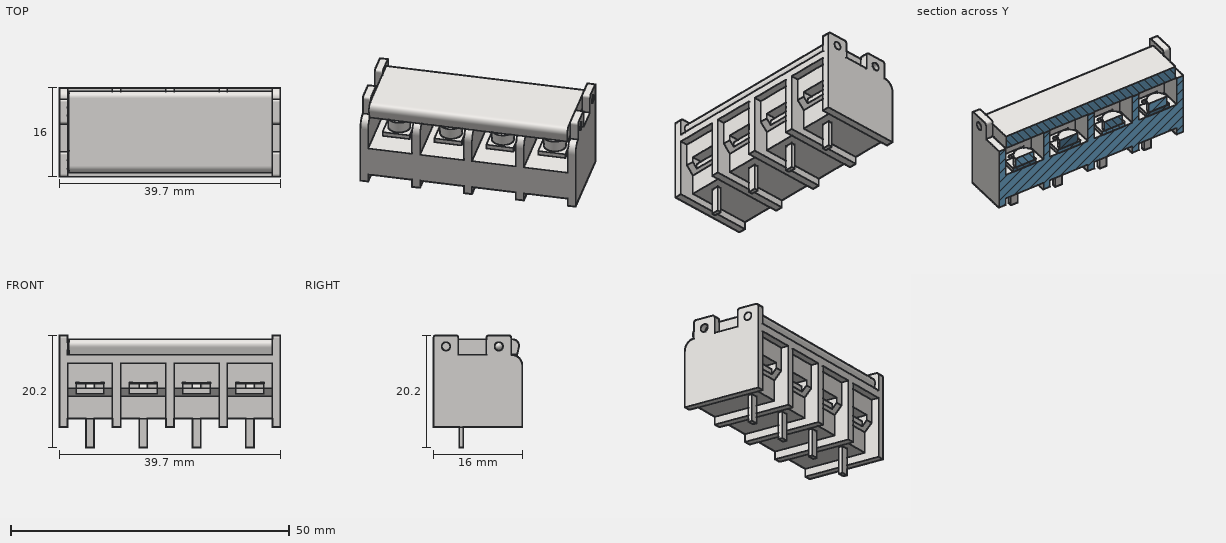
import cadquery as cq
import math


poles = 4
length = 39.72
depth = 16.0
deck_height = 13.0
end_wall = 1.46
divider = 1.5
bay_width = (length - 2 * end_wall - (poles - 1) * divider) / poles
pitch = bay_width + divider
left_end = -length / 2
inner_left = left_end + end_wall
inner_length = length - 2 * end_wall
pole_centres = [inner_left + bay_width / 2 + pole * pitch for pole in range(poles)]

back_tab_end = 14.0
back_corner_radius = depth - back_tab_end
back_corner_height = deck_height - back_corner_radius
lower_wall_y = 3.0
upper_wall_y = 1.5
core_bottom = 1.5
slope_rise = lower_wall_y - upper_wall_y
ledge_height = 7.0
beam_bottom = 11.5
well_front = 4.75

tab_length = 4.5
tab_top = 16.5
tab_radius = 0.5
tab_starts = [0.0, back_tab_end - tab_length]

opening_width = 5.0
opening_top = 8.0
mouth_bottom = 6.0
mouth_depth = 1.0

sheet = 0.8
pin_width = 1.5
pin_front = 4.6
pin_tip = -3.7
bend_inner_radius = 0.3
bend_outer_radius = bend_inner_radius + sheet
bend_axis_y = pin_front + bend_outer_radius
plate_top = ledge_height + sheet
bend_axis_z = plate_top - bend_outer_radius
root_radius = 0.5
plate_front = bend_axis_y + root_radius
plate_size = opening_width

screw_diameter = 4.0
screw_height = 2.0

cover_gap = 0.23
cover_left = inner_left + cover_gap
cover_right = inner_left + inner_length
cover_top = 15.8
cover_front = 0.75
cover_back = 15.4
cover_radius = 1.2
cover_draft = math.radians(12.5)
peg_diameter = 1.52
dome_diameter = 1.5
peg_height = 14.5
front_peg_y, back_peg_y = [start + tab_length / 2 for start in tab_starts]


def block(x_min, x_max, y_min, y_max, z_min, z_max):
    """Box between two corners."""
    size = (x_max - x_min, y_max - y_min, z_max - z_min)
    return cq.Workplane("XY").box(*size, centered=False).translate((x_min, y_min, z_min))


def side_profile(x):
    """Sketch plane at x whose local axes are Y and Z, extruding towards +X."""
    return cq.Workplane("YZ", origin=(x, 0, 0))


def wall(x, thickness):
    """Divider or end wall with a rounded upper back corner."""
    return (
        side_profile(x)
        .lineTo(depth, 0)
        .lineTo(depth, back_corner_height)
        .radiusArc((back_tab_end, deck_height), -back_corner_radius)
        .lineTo(0, deck_height)
        .close()
        .extrude(thickness)
    )


def tab(x, y):
    """Upright tab on an end wall, rounded at its two upper edges."""
    body = block(x, x + end_wall, y, y + tab_length, deck_height, tab_top)
    return body.edges("|X and >Z").fillet(tab_radius)


def core():
    """Body between the end walls: sloped front wall, top beam and floor open to the back."""
    return (
        side_profile(inner_left)
        .polyline([
            (lower_wall_y, core_bottom),
            (lower_wall_y, ledge_height - slope_rise),
            (upper_wall_y, ledge_height),
            (upper_wall_y, beam_bottom),
            (0, beam_bottom),
            (0, deck_height),
            (well_front, deck_height),
            (well_front, ledge_height),
            (depth, ledge_height),
            (depth, core_bottom),
        ])
        .close()
        .extrude(inner_length)
    )


def wire_opening(x):
    """Front mouth and the slot that leads from it to the open back of the bay."""
    x_min = x - opening_width / 2
    x_max = x + opening_width / 2
    mouth_back = upper_wall_y + mouth_depth
    mouth = block(x_min, x_max, upper_wall_y, mouth_back, mouth_bottom, opening_top)
    slot = block(x_min, x_max, mouth_back, well_front, ledge_height, opening_top)
    return mouth.union(slot)


def terminal(x):
    """Flat plate whose narrow tongue bends down into the solder pin."""
    plate_middle = plate_front + plate_size / 2
    plate = (
        cq.Workplane("XY", origin=(x, plate_middle, ledge_height))
        .rect(plate_size, plate_size)
        .extrude(sheet)
    )
    tongue = (
        side_profile(x - pin_width / 2)
        .moveTo(pin_front, pin_tip)
        .lineTo(pin_front, bend_axis_z)
        .radiusArc((bend_axis_y, plate_top), bend_outer_radius)
        .lineTo(plate_middle, plate_top)
        .lineTo(plate_middle, ledge_height)
        .lineTo(bend_axis_y, ledge_height)
        .radiusArc((pin_front + sheet, bend_axis_z), -bend_inner_radius)
        .lineTo(pin_front + sheet, pin_tip)
        .close()
        .extrude(pin_width)
    )
    reach = pin_width / 2
    corner = cq.selectors.BoxSelector(
        (x - reach - root_radius / 2, plate_front - root_radius / 4, ledge_height),
        (x + reach + root_radius / 2, plate_front + root_radius / 4, plate_top),
    )
    return plate.union(tongue).edges("|Z").edges(corner).fillet(root_radius)


def screw_head(x):
    """Round head resting on the middle of a terminal plate."""
    centre = (x, plate_front + plate_size / 2, plate_top)
    return cq.Workplane("XY", origin=centre).circle(screw_diameter / 2).extrude(screw_height)


def flat_peg(x_min, x_max):
    """Straight front peg with flat ends."""
    peg = cq.Workplane("YZ", origin=(x_min, front_peg_y, peg_height))
    return peg.circle(peg_diameter / 2).extrude(x_max - x_min)


def domed_peg(x):
    """Back peg: a ball half sunk in the end face of the cover at x."""
    ball = cq.Workplane("XY").sphere(dome_diameter / 2, direct=(1, 0, 0))
    return ball.translate((x, back_peg_y, peg_height))


def cover_bar():
    """Cover slab with rounded upper edges and sides drafted inwards below them."""
    arc_front = cover_front + cover_radius
    arc_back = cover_back - cover_radius
    arc_z = cover_top - cover_radius
    arc_side = cover_radius * math.cos(cover_draft)
    arc_end_z = arc_z - cover_radius * math.sin(cover_draft)
    taper = (arc_end_z - deck_height) * math.tan(cover_draft)
    return (
        side_profile(cover_left)
        .moveTo(arc_front - arc_side + taper, deck_height)
        .lineTo(arc_front - arc_side, arc_end_z)
        .radiusArc((arc_front, cover_top), cover_radius)
        .lineTo(arc_back, cover_top)
        .radiusArc((arc_back + arc_side, arc_end_z), cover_radius)
        .lineTo(arc_back + arc_side - taper, deck_height)
        .close()
        .extrude(cover_right - cover_left)
    )


def peg_hole(y):
    """Cylinder through both end walls at a peg position."""
    hole = cq.Workplane("YZ", origin=(left_end, y, peg_height))
    return hole.circle(peg_diameter / 2).extrude(length)


terminals = [terminal(x) for x in pole_centres]
screw_heads = [screw_head(x) for x in pole_centres]

right_end = left_end + length
cover = cover_bar()
cover = cover.union(flat_peg(left_end, right_end))
cover = cover.union(domed_peg(cover_left))
cover = cover.union(domed_peg(cover_right))

housing = core()
for index in range(poles - 1):
    housing = housing.union(wall(inner_left + bay_width + index * pitch, divider))
for wall_x in (left_end, right_end - end_wall):
    housing = housing.union(wall(wall_x, end_wall))
    for tab_y in tab_starts:
        housing = housing.union(tab(wall_x, tab_y))
for x in pole_centres:
    housing = housing.cut(wire_opening(x))
for pin in terminals:
    housing = housing.cut(pin)
for peg_y in (front_peg_y, back_peg_y):
    housing = housing.cut(peg_hole(peg_y))

result = cq.Compound.makeCompound([
    housing.val(),
    cover.val(),
    *[pin.val() for pin in terminals],
    *[head.val() for head in screw_heads],
])